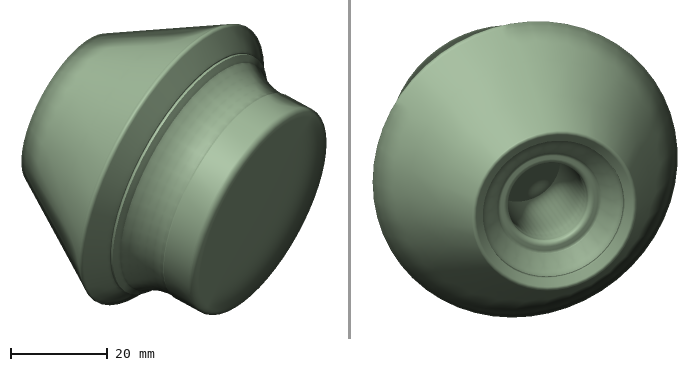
import cadquery as cq
import math

TOTAL_LENGTH = 48.98

NOSE_RADIUS = 17.6
NOSE_ROUND = 0.65
FRONT_CONE_ANGLE = 30.3
MOUTH_CONE_ANGLE = 60.0
CREST_RADIUS = 32.5
CREST_ROUND = 0.75
CREST_BAND_START_X = 25.2
CREST_BAND_ANGLE = 36.0
REAR_CONE_ANGLE = 51.0
SHELL_END_RADIUS = 27.9
SHELL_BORE_RADIUS = 15.1

SEAT_SETBACK = 0.7
SEAT_LIP = 0.15
SEAT_END_X = 4.8
SEAT_END_RADIUS = 11.1
SEAT_ROUND = 0.6
BORE_RADIUS = 17.0 / 2
BORE_MOUTH_ROUND = 1.1
BORE_FLOOR_X = 30.0
COLLAR_RADIUS = 27.75
COLLAR_CHAMFER = 0.2
COLLAR_WIDTH = 0.65
COLLAR_CONE_ANGLE = 54.0
COLLAR_FOOT_RADIUS = 26.4
WAIST_RADIUS = 47.6 / 2
WAIST_ARC_END_X = 40.0
WAIST_END_X = 40.65
RING_RADIUS = 48.0 / 2
RING_START_X = 41.0
RING_ROUND = 1.5


def arc_point(center, radius, angle):
    """Point on a profile arc; the angle runs from +X towards larger radii."""
    turn = math.radians(angle)
    return (center[0] + radius * math.cos(turn), center[1] + radius * math.sin(turn))


def tangent(angle):
    return math.tan(math.radians(angle))


def turned(profile):
    """Revolve a closed profile about the X axis."""
    return profile.close().revolve(360, (0, 0, 0), (1, 0, 0))


nose_outer_angle = 90 + FRONT_CONE_ANGLE
nose_inner_angle = 270 - MOUTH_CONE_ANGLE
nose_center = (NOSE_ROUND, NOSE_RADIUS - NOSE_ROUND * math.sin(math.radians(nose_outer_angle)))
nose_outer = arc_point(nose_center, NOSE_ROUND, nose_outer_angle)
nose_tip = arc_point(nose_center, NOSE_ROUND, 180)
nose_inner = arc_point(nose_center, NOSE_ROUND, nose_inner_angle)
mouth_edge_x = nose_inner[0] + (nose_inner[1] - SHELL_BORE_RADIUS) / tangent(MOUTH_CONE_ANGLE)

band_start_radius = nose_outer[1] + (CREST_BAND_START_X - nose_outer[0]) * tangent(FRONT_CONE_ANGLE)
crest_front_angle = 90 + CREST_BAND_ANGLE
crest_rear_angle = 90 - REAR_CONE_ANGLE
crest_center_radius = CREST_RADIUS - CREST_ROUND
crest_front_offset = arc_point((0, crest_center_radius), CREST_ROUND, crest_front_angle)
band_length = (crest_front_offset[1] - band_start_radius) / tangent(CREST_BAND_ANGLE)
crest_x = CREST_BAND_START_X + band_length - crest_front_offset[0]
crest_center = (crest_x, crest_center_radius)
crest_front_start = arc_point(crest_center, CREST_ROUND, crest_front_angle)
crest_rear_end = arc_point(crest_center, CREST_ROUND, crest_rear_angle)
shell_end_x = crest_rear_end[0] + (crest_rear_end[1] - SHELL_END_RADIUS) / tangent(REAR_CONE_ANGLE)


def make_shell():
    profile = (
        cq.Workplane("XY")
        .moveTo(mouth_edge_x, SHELL_BORE_RADIUS)
        .lineTo(*nose_inner)
        .threePointArc(nose_tip, nose_outer)
        .lineTo(CREST_BAND_START_X, band_start_radius)
        .lineTo(*crest_front_start)
        .threePointArc((crest_x, CREST_RADIUS), crest_rear_end)
        .lineTo(shell_end_x, SHELL_END_RADIUS)
        .lineTo(shell_end_x, SHELL_BORE_RADIUS)
    )
    return turned(profile)


def make_core():
    spigot_x = mouth_edge_x + SEAT_SETBACK
    collar_end_x = shell_end_x + COLLAR_WIDTH
    foot_x = collar_end_x + (COLLAR_RADIUS - COLLAR_FOOT_RADIUS) / tangent(COLLAR_CONE_ANGLE)

    arc_length = WAIST_ARC_END_X - foot_x
    arc_drop = COLLAR_FOOT_RADIUS - WAIST_RADIUS
    waist_arc = (arc_length**2 + arc_drop**2) / (2 * arc_drop)
    waist_center = (WAIST_ARC_END_X, WAIST_RADIUS + waist_arc)
    half_sweep = math.degrees(math.asin(arc_length / waist_arc)) / 2

    floor_x = SEAT_END_X + SEAT_ROUND / 2
    floor_radius = SEAT_END_RADIUS - SEAT_ROUND
    bore_round_center = (floor_x + BORE_MOUTH_ROUND, BORE_RADIUS + BORE_MOUTH_ROUND)
    ring_round_center = (TOTAL_LENGTH - RING_ROUND, RING_RADIUS - RING_ROUND)

    profile = (
        cq.Workplane("XY")
        .moveTo(BORE_FLOOR_X, 0)
        .lineTo(BORE_FLOOR_X, BORE_RADIUS)
        .lineTo(bore_round_center[0], BORE_RADIUS)
        .threePointArc(
            arc_point(bore_round_center, BORE_MOUTH_ROUND, 225), (floor_x, bore_round_center[1])
        )
        .lineTo(floor_x, floor_radius)
        .tangentArcPoint((SEAT_END_X, SEAT_END_RADIUS), relative=False)
        .lineTo(spigot_x, SHELL_BORE_RADIUS - SEAT_LIP)
        .lineTo(spigot_x, SHELL_BORE_RADIUS)
        .lineTo(shell_end_x, SHELL_BORE_RADIUS)
        .lineTo(shell_end_x, COLLAR_RADIUS - COLLAR_CHAMFER)
        .lineTo(shell_end_x + COLLAR_CHAMFER, COLLAR_RADIUS)
        .lineTo(collar_end_x, COLLAR_RADIUS)
        .lineTo(foot_x, COLLAR_FOOT_RADIUS)
        .threePointArc(
            arc_point(waist_center, waist_arc, 270 - half_sweep), (WAIST_ARC_END_X, WAIST_RADIUS)
        )
        .lineTo(WAIST_END_X, WAIST_RADIUS)
        .lineTo(RING_START_X, RING_RADIUS)
        .lineTo(ring_round_center[0], RING_RADIUS)
        .threePointArc(
            arc_point(ring_round_center, RING_ROUND, 45), (TOTAL_LENGTH, ring_round_center[1])
        )
        .lineTo(TOTAL_LENGTH, 0)
    )
    return turned(profile)


shell = make_shell()
core = make_core()
result = cq.Compound.makeCompound([shell.val(), core.val()])